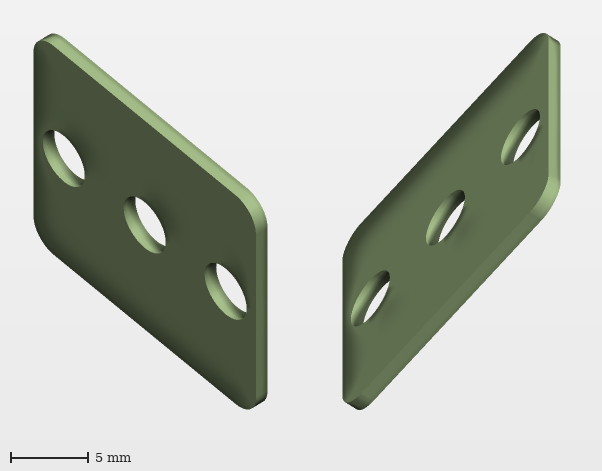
import cadquery as cq

width = 22
thickness = 1.0
height = 19.0
corner_radius = 2.0

hole_diameter = 4.15
hole_spacing = 8.0
hole_count = 3


def rounded_plate():
    """Flat plate with its four outer corners rounded."""
    plate = cq.Workplane("XY").box(width, thickness, height)
    return plate.edges("|Y").fillet(corner_radius)


def drill_hole_row(plate):
    """Cut the evenly spaced holes through the plate thickness."""
    return (
        plate.faces("<Y")
        .workplane(origin=(0, 0, 0))
        .rarray(hole_spacing, 0.22, hole_count, 1)
        .hole(hole_diameter)
    )


result = drill_hole_row(rounded_plate())